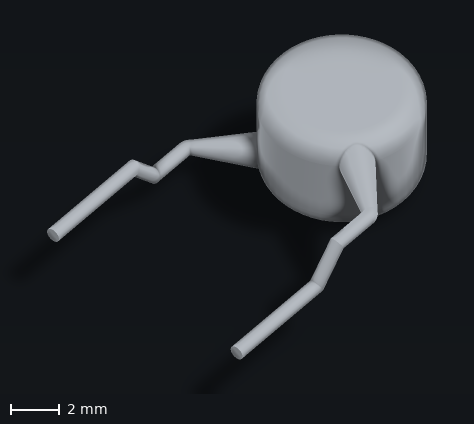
import math

import cadquery as cq

case_diameter = 7.0
case_height = 5.0
case_fillet = 1.0
case_radius = case_diameter / 2
case_flat_radius = case_radius - case_fillet

wire_diameter = 0.65
wire_radius = wire_diameter / 2
lead_spacing = 10.0
lead_x = lead_spacing / 2
lead_z = case_height / 2 - case_fillet
overall_length = 15.8
elbow_end_y = -4.1
kink_start_y = -6.02
kink_end_y = -7.3
lead_end_y = case_radius - overall_length

pivot_x = lead_x - wire_radius
pivot_distance = math.hypot(pivot_x, elbow_end_y)
cone_angle = math.degrees(math.atan2(-elbow_end_y, pivot_x) - math.asin(wire_radius / pivot_distance))
elbow_angle = 90 - cone_angle

cone_half_angle = 9.0
cone_tip_distance = math.sqrt(pivot_distance**2 - wire_radius**2)
cone_length = cone_tip_distance - case_flat_radius
cone_root_radius = wire_radius + cone_length * math.tan(math.radians(cone_half_angle))

side_turns = (0, 180)


def turn_about_y(body, angle):
    return body.rotate((0, 0, 0), (0, 1, 0), angle)


def make_case():
    return cq.Workplane("XY").cylinder(case_height, case_radius).edges().fillet(case_fillet)


def make_lead():
    """Upper right lead: kinked wire plus the elbow that meets the cone."""
    path = cq.Workplane("YZ", origin=(lead_x, 0, 0)).polyline([
        (elbow_end_y, lead_z),
        (kink_start_y, lead_z),
        (kink_end_y, 0),
        (lead_end_y, 0),
    ])
    section = cq.Workplane("XZ", origin=(lead_x, elbow_end_y, lead_z)).circle(wire_radius)
    wire = section.sweep(path, transition="right")
    elbow = (
        cq.Workplane("XZ", origin=(lead_x, elbow_end_y, lead_z))
        .circle(wire_radius)
        .revolve(elbow_angle, (-wire_radius, -0.16, 0), (-wire_radius, 0.16, 0))
    )
    return wire.union(elbow)


def make_cone(case):
    """Upper right cone, its wide end shaped to sit on the outside of the case."""
    angle = math.radians(cone_angle)
    outward = cq.Vector(math.cos(angle), -math.sin(angle), 0)
    root = outward * case_flat_radius + cq.Vector(0, 0, lead_z)
    cone = cq.Solid.makeCone(cone_root_radius, wire_radius, cone_length, root, outward)
    return cq.Workplane(cone).cut(case)


case = make_case()
lead = make_lead()
cone = make_cone(case)

leads = [turn_about_y(lead, turn).val() for turn in side_turns]
cones = [turn_about_y(cone, turn).val() for turn in side_turns]

result = cq.Compound.makeCompound([case.val(), *leads, *cones])